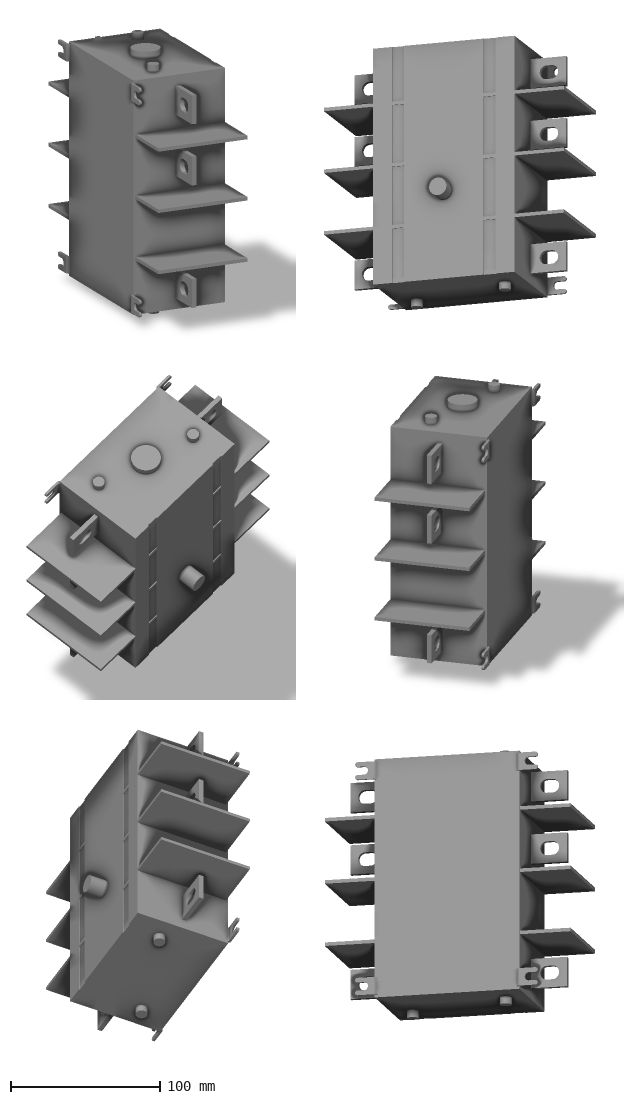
import cadquery as cq
import math

overall_height = 174.4
pole_pitch = 42.9

body_width = 100.1
body_depth = 68.0
body_height = 164.1

groove_width = 8.4
groove_depth = 0.7
groove_offset = 32.5

pin_diameter = 8.0
pin_length = 5.0
pin_offset_x = 35.0
pin_offset_y = 11.2
knob_diameter = 20.0
knob_height = overall_height - body_height - pin_length
shaft_diameter = 12.2
shaft_length = 12.5

partition_span = 170.0
partition_thickness = 2.5
partition_setback = 1.5
partition_levels = [-pole_pitch, 0, pole_pitch]

terminal_span = 150.0
terminal_height = 20.2
terminal_thickness = 3.3
terminal_plane = 33.0
terminal_levels = [-1.5 * pole_pitch, 0.5 * pole_pitch, 1.5 * pole_pitch]
terminal_hole_offset = 63.0
terminal_hole_length = 13.0
terminal_hole_height = 9.5

clip_reach = 63.1
clip_height = 12.0
clip_level = 74.3
clip_projection = 2.0
clip_thickness = 1.7
clip_bend_start = 50.8
clip_bend_angle = math.radians(45)
clip_slot_width = 5.5
clip_slot_end = 54.2
clip_tip_radius = 1.5
clip_root_depth = 0.9


def centred_box(width, depth, height, front, level):
    """Box centred on X and on the given Z level, its front face at Y = front."""
    return cq.Workplane("XY").box(width, depth, height).translate((0, front + depth / 2, level))


def make_body():
    body = centred_box(body_width, body_depth, body_height, 0, 0)
    for side in (-1, 1):
        groove = centred_box(groove_width, groove_depth, body_height, body_depth - groove_depth, 0)
        body = body.cut(groove.translate((side * groove_offset, 0, 0)))
    return body


def make_partition(level):
    depth = body_depth - partition_setback
    return centred_box(partition_span, depth, partition_thickness, partition_setback, level)


def make_terminal(level):
    front = terminal_plane - terminal_thickness / 2
    bar = centred_box(terminal_span, terminal_thickness, terminal_height, front, level)
    holes = (
        cq.Workplane("XZ", origin=(0, terminal_plane, level))
        .pushPoints([(-terminal_hole_offset, 0), (terminal_hole_offset, 0)])
        .slot2D(terminal_hole_length, terminal_hole_height)
        .extrude(terminal_thickness, both=True)
    )
    return bar.cut(holes)


def make_pins():
    """Two diagonal pins that stand out equally at the top and the bottom."""
    length = body_height + 2 * pin_length
    return (
        cq.Workplane("XY", origin=(0, terminal_plane, -length / 2))
        .pushPoints([(-pin_offset_x, pin_offset_y), (pin_offset_x, -pin_offset_y)])
        .circle(pin_diameter / 2)
        .extrude(length)
    )


def make_knob():
    return (
        cq.Workplane("XY", origin=(0, terminal_plane, body_height / 2))
        .circle(knob_diameter / 2)
        .extrude(knob_height)
    )


def make_shaft():
    return (
        cq.Workplane("XZ", origin=(0, body_depth, -pole_pitch / 2))
        .circle(shaft_diameter / 2)
        .extrude(-shaft_length)
    )


def make_clip():
    """Clip on the +X side at Z = 0: a flat fork bent back into the housing."""
    front = -clip_projection
    back = front + clip_thickness

    def bend_point(angle):
        return (
            clip_bend_start - clip_thickness * math.sin(angle),
            back - clip_thickness * math.cos(angle),
        )

    outer_end = bend_point(clip_bend_angle)
    slope = math.tan(clip_bend_angle)
    outer_root = (outer_end[0] - (clip_root_depth - outer_end[1]) / slope, clip_root_depth)
    inner_root = (clip_bend_start - (clip_root_depth - back) / slope, clip_root_depth)
    strip = (
        cq.Workplane("XY", origin=(0, 0, -clip_height / 2))
        .moveTo(clip_reach, back)
        .lineTo(clip_reach, front)
        .lineTo(clip_bend_start, front)
        .threePointArc(bend_point(clip_bend_angle / 2), outer_end)
        .lineTo(*outer_root)
        .lineTo(*inner_root)
        .lineTo(clip_bend_start, back)
        .close()
        .extrude(clip_height)
    )

    slot_length = 2 * (clip_reach - clip_slot_end)
    slot = (
        cq.Workplane("XZ")
        .center(clip_slot_end + slot_length / 2, 0)
        .slot2D(slot_length, clip_slot_width)
        .extrude(clip_projection)
    )
    return strip.cut(slot).edges("|Y and >X").fillet(clip_tip_radius)


def make_clips():
    """The clip repeated at the four front corners."""
    right = make_clip()
    left = right.mirror("YZ")
    clips = []
    for level in (-clip_level, clip_level):
        clips.append(right.translate((0, 0, level)))
        clips.append(left.translate((0, 0, level)))
    return clips


features = [make_partition(level) for level in partition_levels]
features += [make_terminal(level) for level in terminal_levels]
features += [make_pins(), make_knob(), make_shaft()]
features += make_clips()

result = make_body()
for feature in features:
    result = result.union(feature)